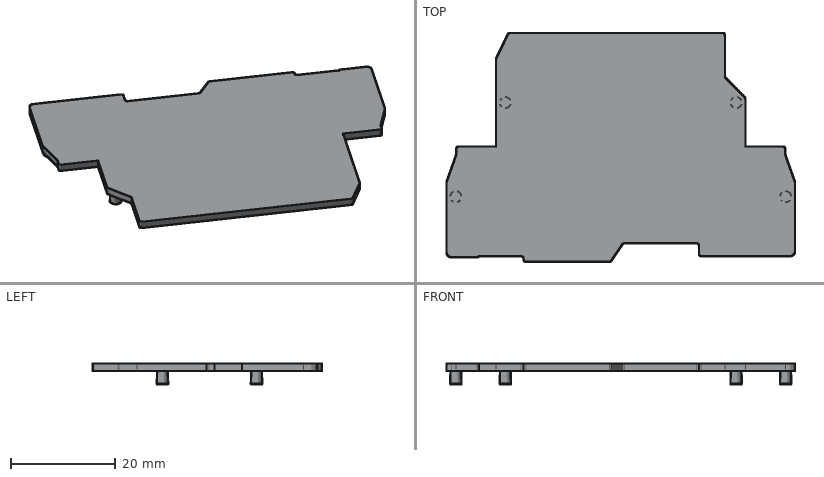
import cadquery as cq
import math

length = 67.0
width = 44.0
height = 4.0
plate_thickness = 1.5
pin_length = height - plate_thickness
half_length = length / 2

shoulder_y = 22.2
shoulder_half = 31.6
taper_top_y = 20.65
taper_bottom_y = 15.35

upper_half = 24.0
top_left_x = -21.6
left_slope_y = 39.05
top_right_x = 20.0
notch_top_y = 35.5
notch_bottom_y = 31.5

foot_y = 1.1
left_pad_y = 0.9
left_pad_arc_x = -27.6
tongue_left_x = -18.7
tongue_right_x = -1.95
recess_y = 3.55
recess_left_x = 0.5
recess_right_x = 15.0

foot_radius = 1.0
small_radius = 0.5
notch_radius = 0.75

pin_root_diameter = 2.1
pin_tip_diameter = 2.3
pin_tip_chamfer = 0.15
outer_pin_x = 31.7
outer_pin_y = 12.5
inner_pin_x = 22.2
inner_pin_y = 30.6


def round_corners(body, corners, radius):
    """Round the vertical plate edges at the given (x, y) corners."""
    for x, y in corners:
        edge = cq.selectors.NearestToPointSelector((x, y, pin_length + plate_thickness / 2))
        body = body.edges("|Z").edges(edge).fillet(radius)
    return body


def make_plate():
    left_pad = [
        (-half_length, left_pad_y),
        (left_pad_arc_x, left_pad_y),
    ]
    arc_center_y = left_pad_y + small_radius
    end_angle = math.asin((arc_center_y - foot_y) / small_radius)
    mid_angle = (end_angle + math.pi / 2) / 2

    def pad_arc_point(angle):
        return (
            left_pad_arc_x + small_radius * math.cos(angle),
            arc_center_y - small_radius * math.sin(angle),
        )

    remaining_outline = [
        (tongue_left_x, foot_y),
        (tongue_left_x, 0),
        (tongue_right_x, 0),
        (recess_left_x, recess_y),
        (recess_right_x, recess_y),
        (recess_right_x, foot_y),
        (half_length, foot_y),
        (half_length, taper_bottom_y),
        (shoulder_half, taper_top_y),
        (shoulder_half, shoulder_y),
        (upper_half, shoulder_y),
        (upper_half, notch_bottom_y),
        (top_right_x, notch_top_y),
        (top_right_x, width),
        (top_left_x, width),
        (-upper_half, left_slope_y),
        (-upper_half, shoulder_y),
        (-shoulder_half, shoulder_y),
        (-shoulder_half, taper_top_y),
        (-half_length, taper_bottom_y),
    ]
    plate = (
        cq.Workplane("XY", origin=(0, 0, pin_length))
        .polyline(left_pad)
        .threePointArc(pad_arc_point(mid_angle), pad_arc_point(end_angle))
        .polyline(remaining_outline, includeCurrent=True)
        .close()
        .extrude(plate_thickness)
    )

    foot_corners = [(-half_length, left_pad_y), (half_length, foot_y)]
    small_corners = [
        (tongue_left_x, foot_y),
        (tongue_left_x, 0),
        (tongue_right_x, 0),
        (recess_left_x, recess_y),
        (recess_right_x, recess_y),
        (recess_right_x, foot_y),
        (shoulder_half, shoulder_y),
        (-shoulder_half, shoulder_y),
        (top_right_x, width),
        (top_left_x, width),
        (-upper_half, left_slope_y),
    ]
    plate = round_corners(plate, foot_corners, foot_radius)
    plate = round_corners(plate, small_corners, small_radius)
    return round_corners(plate, [(upper_half, notch_bottom_y)], notch_radius)


def make_pin(x, y):
    """Flared round pin from its tip at Z = 0 up to the plate underside."""
    pin = (
        cq.Workplane("XY", origin=(x, y, 0))
        .circle(pin_tip_diameter / 2)
        .workplane(offset=pin_length)
        .circle(pin_root_diameter / 2)
        .loft()
    )
    return pin.faces("<Z").chamfer(pin_tip_chamfer)


result = make_plate()
for side in (-1, 1):
    result = result.union(make_pin(side * outer_pin_x, outer_pin_y))
    result = result.union(make_pin(side * inner_pin_x, inner_pin_y))